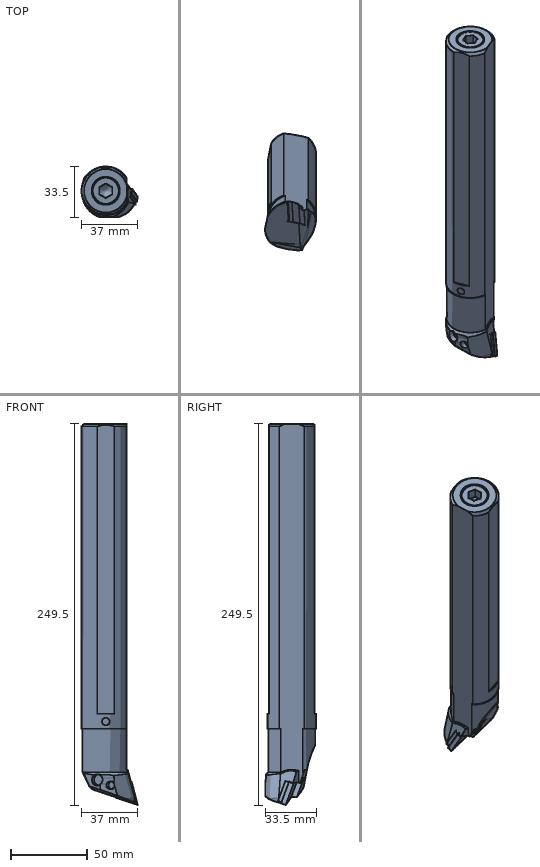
import cadquery as cq
import math

TOTAL_HEIGHT = 249.5
SHANK_RADIUS = 16.0
NECK_RADIUS = 15.5
NECK_TOP = 50.0
END_CHAMFER = 1.7
SIDE_FLAT_X = 13.7
CLAMP_FLAT_Y = 15.0
CLAMP_FLAT_BOTTOM = 60.0

REAR_PLUG_RADIUS = 8.5
REAR_PLUG_LENGTH = 15.0
REAR_HOLE_CHAMFER = 0.7
HEX_ACROSS_FLATS = 8.2
HEX_DEPTH = 7.5
HEX_POINT_ANGLE = 118.0

SIDE_PLUG_RADIUS = 2.5
SIDE_PLUG_Z = 54.6
SIDE_PLUG_LENGTH = 7.5

HEAD_OFFSET_X = 2.5
HEAD_RADIUS = 18.5
LEDGE_APEX = 37.0
HEAD_CEILING = LEDGE_APEX - SIDE_FLAT_X

RELIEF_TILT = 17.0
RELIEF_PIVOT_Z = 2.5

FRONT_Y = -17.5
FRONT_BEVEL_BOTTOM = 14.0
FRONT_BEVEL_TOP = 17.7
FRONT_SETBACK = 0.5

HEEL_TOP = (-15.5, 22.2)
HEEL_BOTTOM = (-10.7, 12.2)
HEEL_ARC_MIDDLE = (-8.7, 10.5)
HEEL_ARC_END = (-6.2, 9.0)

GULLET_TOP = (15.7, 40.0)
GULLET_BEND = (13.0, 33.5)
GULLET_FOOT = (11.0, 27.5)
GULLET_BOTTOM = (6.0, 2.5)

SHOULDER_START = (SIDE_FLAT_X, 4.5)
SHOULDER_END = (18.0, -0.7)

TIP = cq.Vector(21.0, -4.0, 0)
FRONT_EDGE = cq.Vector(-5.7, 1.4, 1.9)
SIDE_EDGE = cq.Vector(-1.4, 2.2, 6.0)
INSERT_ANGLE = 55.0
INSERT_EDGE = 15.5
INSERT_THICKNESS = 3.2
SHIM_THICKNESS = 2.5
EDGE_OVERHANG = 0.5
SHOULDER_HEIGHT = 3.5
BOTTOM_CLEARANCE = 4.0

SCREW_PLACE = (-6.2, 16.5)
SCREW_RADIUS = 3.7
SCREW_RECESS = 5.5
PIN_PLACE = (3.0, 13.0)
PIN_RADIUS = 2.5
PIN_RECESS = 3.0
FASTENER_LENGTH = 5.0
FASTENER_TILT = 22.0
MOUTH_CLEARANCE = 10.0

LARGE = 99.8

rake_plane = cq.Plane(origin=TIP, xDir=FRONT_EDGE, normal=FRONT_EDGE.cross(SIDE_EDGE))


def cylinder(radius, bottom, top, x=0.0):
    return cq.Workplane("XY", origin=(x, 0, bottom)).circle(radius).extrude(top - bottom)


def box_between(low, high):
    size = [b - a for a, b in zip(low, high)]
    return cq.Workplane("XY", origin=low).box(*size, centered=False)


def rhombus(edge, inset, bottom, height):
    """A rhombic prism on the rake plane, its tip corner moved inward by the inset."""
    angle = math.radians(INSERT_ANGLE)
    start = (inset / math.tan(angle / 2), inset)
    along = edge - start[0]
    side = (along * math.cos(angle), along * math.sin(angle))
    return (
        cq.Workplane(rake_plane)
        .workplane(offset=bottom)
        .moveTo(*start)
        .line(along, 0)
        .line(*side)
        .line(-along, 0)
        .close()
        .extrude(height)
    )


def make_shank():
    shank = cylinder(SHANK_RADIUS, NECK_TOP, TOTAL_HEIGHT).faces(">Z").chamfer(END_CHAMFER)
    for side in (-1, 1):
        flat = cq.Workplane("XY", origin=(0, side * (CLAMP_FLAT_Y + LARGE / 2), CLAMP_FLAT_BOTTOM))
        shank = shank.cut(flat.box(LARGE, LARGE, TOTAL_HEIGHT, centered=(True, True, False)))
    shank = shank.union(cylinder(NECK_RADIUS, 0, NECK_TOP))
    return shank.cut(box_between((SIDE_FLAT_X, -LARGE, 0), (LARGE, LARGE, TOTAL_HEIGHT)))


def make_head():
    head = cylinder(HEAD_RADIUS, 0, LEDGE_APEX, HEAD_OFFSET_X)
    ledge = (
        cq.Workplane("XZ")
        .lineTo(LEDGE_APEX, 0)
        .lineTo(0, LEDGE_APEX)
        .close()
        .revolve(360, (0, 0), (0, 1))
    )
    relief = (
        cq.Workplane("XY")
        .circle(HEAD_RADIUS)
        .extrude(LARGE, both=True)
        .rotate((0, 0, 0), (0, 1, 0), -RELIEF_TILT)
        .translate((HEAD_OFFSET_X, 0, RELIEF_PIVOT_Z))
    )
    front = (
        cq.Workplane("YZ", origin=(-LARGE, 0, 0))
        .moveTo(FRONT_Y, 0)
        .lineTo(FRONT_Y, FRONT_BEVEL_BOTTOM)
        .lineTo(FRONT_Y + FRONT_SETBACK, FRONT_BEVEL_TOP)
        .lineTo(FRONT_Y + FRONT_SETBACK, LARGE)
        .lineTo(LARGE, LARGE)
        .lineTo(LARGE, 0)
        .close()
        .extrude(2 * LARGE)
    )
    return head.intersect(ledge).intersect(relief).intersect(front)


def gullet():
    return (
        cq.Workplane("YZ", origin=(-LARGE, 0, 0))
        .moveTo(*GULLET_TOP)
        .threePointArc(GULLET_BEND, GULLET_FOOT)
        .lineTo(*GULLET_BOTTOM)
        .lineTo(GULLET_BOTTOM[0], -LARGE)
        .lineTo(LARGE, -LARGE)
        .lineTo(LARGE, GULLET_TOP[1])
        .close()
        .extrude(2 * LARGE)
    )


def heel():
    return (
        cq.Workplane("XZ", origin=(0, LARGE, 0))
        .moveTo(*HEEL_TOP)
        .lineTo(*HEEL_BOTTOM)
        .threePointArc(HEEL_ARC_MIDDLE, HEEL_ARC_END)
        .lineTo(HEEL_ARC_END[0], -LARGE)
        .lineTo(-LARGE, -LARGE)
        .lineTo(-LARGE, HEEL_TOP[1])
        .close()
        .extrude(2 * LARGE)
    )


def fastener(place, radius, start, end):
    """A rod along a slanted hole, between two depths below the -Y face of the head."""
    tilt = math.radians(FASTENER_TILT)
    mouth = cq.Vector(place[0], FRONT_Y, place[1])
    axis = cq.Vector(math.sin(tilt), math.cos(tilt), 0)
    return cq.Workplane(cq.Solid.makeCylinder(radius, end - start, mouth + axis * start, axis))


def head_part(solid):
    """The share of a cutting shape that lies below the top of the head."""
    return solid.intersect(box_between((-LARGE, -LARGE, -LARGE), (LARGE, LARGE, HEAD_CEILING)))


def beside_insert():
    """Everything past the insert's side edge, square to the rake face."""
    slab = (
        cq.Workplane(rake_plane)
        .transformed(rotate=(0, 0, INSERT_ANGLE))
        .transformed(offset=(0, LARGE / 2 - EDGE_OVERHANG, 0))
        .box(2 * LARGE, LARGE, 2 * LARGE)
    )
    return head_part(slab)


def under_insert():
    """Everything below the insert's front edge, with a small clearance angle."""
    rise = math.tan(math.radians(BOTTOM_CLEARANCE))
    floor = cq.Plane(TIP, FRONT_EDGE, FRONT_EDGE.cross(cq.Vector(0, 1, -rise)))
    slab = cq.Workplane(floor).workplane(offset=LARGE / 2 - EDGE_OVERHANG)
    return slab.box(2 * LARGE, 2 * LARGE, LARGE)


def above_shoulders():
    """Everything on the +Y side of the shoulders around the insert."""
    slab = cq.Workplane(rake_plane).workplane(offset=SHOULDER_HEIGHT + LARGE / 2)
    return head_part(slab.box(2 * LARGE, 2 * LARGE, LARGE))


def shoulder_corner():
    """The upright corner of the head between the insert and the flat of the neck."""
    return (
        cq.Workplane("XY")
        .moveTo(*SHOULDER_START)
        .lineTo(*SHOULDER_END)
        .lineTo(LARGE, SHOULDER_END[1])
        .lineTo(LARGE, LARGE)
        .lineTo(SHOULDER_START[0], LARGE)
        .close()
        .extrude(HEAD_CEILING)
    )


def rear_plug_blank():
    return cylinder(REAR_PLUG_RADIUS, TOTAL_HEIGHT - REAR_PLUG_LENGTH, TOTAL_HEIGHT)


def make_rear_plug():
    corner_radius = HEX_ACROSS_FLATS / math.sqrt(3)
    point = corner_radius / math.tan(math.radians(HEX_POINT_ANGLE / 2))
    socket_floor = TOTAL_HEIGHT - HEX_DEPTH
    hexagon = (
        cq.Workplane("XY", origin=(0, 0, socket_floor - point))
        .transformed(rotate=(0, 0, 30))
        .polygon(6, 2 * corner_radius)
        .extrude(HEX_DEPTH + point)
    )
    drill = (
        cq.Workplane("XZ")
        .moveTo(0, socket_floor - point)
        .lineTo(corner_radius, socket_floor)
        .lineTo(corner_radius, TOTAL_HEIGHT)
        .lineTo(0, TOTAL_HEIGHT)
        .close()
        .revolve(360, (0, 0), (0, 1))
    )
    return rear_plug_blank().cut(hexagon.intersect(drill))


def make_side_plug():
    rod = cq.Workplane("XZ", origin=(0, 0, SIDE_PLUG_Z)).circle(SIDE_PLUG_RADIUS).extrude(LARGE)
    outer = cylinder(SHANK_RADIUS, NECK_TOP, CLAMP_FLAT_BOTTOM)
    inner = cylinder(SHANK_RADIUS - SIDE_PLUG_LENGTH, NECK_TOP, CLAMP_FLAT_BOTTOM)
    return rod.intersect(outer.cut(inner))


def make_insert():
    return rhombus(INSERT_EDGE, 0, -INSERT_THICKNESS, INSERT_THICKNESS)


def make_shim():
    bottom = -INSERT_THICKNESS - SHIM_THICKNESS
    return rhombus(INSERT_EDGE, EDGE_OVERHANG, bottom, SHIM_THICKNESS)


def make_screw():
    return fastener(SCREW_PLACE, SCREW_RADIUS, SCREW_RECESS, SCREW_RECESS + FASTENER_LENGTH)


def make_pin():
    return fastener(PIN_PLACE, PIN_RADIUS, PIN_RECESS, PIN_RECESS + FASTENER_LENGTH)


def rear_hole():
    chamfer_bottom = TOTAL_HEIGHT - REAR_HOLE_CHAMFER
    mouth = cq.Solid.makeCone(
        REAR_PLUG_RADIUS,
        REAR_PLUG_RADIUS + REAR_HOLE_CHAMFER,
        REAR_HOLE_CHAMFER,
        cq.Vector(0, 0, chamfer_bottom),
    )
    return rear_plug_blank().union(cq.Workplane(mouth))


def make_bar():
    bar = make_shank().union(make_head())
    trims = [gullet(), heel(), shoulder_corner(), beside_insert(), under_insert(), above_shoulders()]
    insert_pocket = rhombus(INSERT_EDGE, 0, -INSERT_THICKNESS, INSERT_THICKNESS + LARGE)
    screw_hole = fastener(SCREW_PLACE, SCREW_RADIUS, -MOUTH_CLEARANCE, SCREW_RECESS + FASTENER_LENGTH)
    pin_hole = fastener(PIN_PLACE, PIN_RADIUS, -MOUTH_CLEARANCE, PIN_RECESS + FASTENER_LENGTH)
    seats = [rear_hole(), make_side_plug(), insert_pocket, make_shim(), screw_hole, pin_hole]
    for cutter in trims + seats:
        bar = bar.cut(cutter)
    return bar


bar = make_bar()
rear_plug = make_rear_plug()
side_plug = make_side_plug()
insert = make_insert()
shim = make_shim()
screw = make_screw()
pin = make_pin()

result = cq.Compound.makeCompound(
    [
        bar.val(),
        rear_plug.val(),
        side_plug.val(),
        insert.val(),
        shim.val(),
        screw.val(),
        pin.val(),
    ]
)